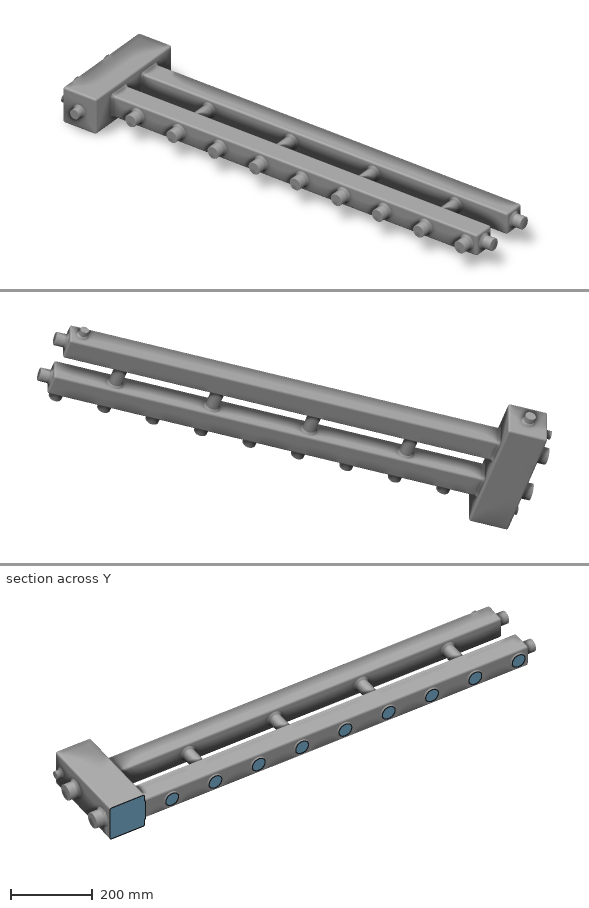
import cadquery as cq


overall_length = 1270.0
overall_width = 357.0

box_size_x = 101.0
box_size_z = 101.0
box_edge_radius = 5.5

rail_spacing = 125.0
rail_width = 60.0
rail_height = 60.0
rail_edge_radius = 5.5

inlet_diameter = 42.3
inlet_length = 29.0
outlet_diameter = 33.5
outlet_length = 30.0
outlet_tip_chamfer = 1.0
vent_diameter = 26.4
vent_length = 20.0
sensor_diameter = 21.3
sensor_length = 16.0
sensor_spacing = 264.0
drain_length = 20.0

outlet_count = 9
outlet_pitch = 125.0
last_outlet_to_rail_end = 31.0

bead = 5.0
rail_bead_length = 6.0

root_overlap = 2.0

box_left = inlet_length
box_right = box_left + box_size_x
box_center_x = box_left + box_size_x / 2
box_length = overall_width - 2 * vent_length
rail_end = overall_length - outlet_length
rail_y = rail_spacing / 2
last_outlet_x = rail_end - last_outlet_to_rail_end
outlet_places = [last_outlet_x - i * outlet_pitch for i in reversed(range(outlet_count))]
rail_gap = rail_spacing - rail_width
front_wall_y = -rail_y - rail_width / 2
rear_wall_y = rail_y + rail_width / 2


def header_box():
    """Closed box along Y with all its edges rounded."""
    box = cq.Workplane("XY").box(box_size_x, box_length, box_size_z)
    return box.edges().fillet(box_edge_radius).translate((box_center_x, 0, 0))


def rail_section(margin):
    """Rounded square of the rail, enlarged by a margin on every side."""
    outline = cq.Sketch().rect(rail_width + 2 * margin, rail_height + 2 * margin)
    return outline.vertices().fillet(rail_edge_radius + margin)


def rail(y):
    """Square tube along X, with a weld bead around its joint with the header box."""
    length = rail_end - box_right + root_overlap
    tube = (
        cq.Workplane("YZ", origin=(box_right - root_overlap, y, 0))
        .rect(rail_width, rail_height)
        .extrude(length)
        .edges("|X or >X")
        .fillet(rail_edge_radius)
    )
    joint = (
        cq.Workplane("YZ", origin=(box_right, y, 0))
        .placeSketch(
            rail_section(bead),
            rail_section(0).moved(cq.Location(cq.Vector(0, 0, rail_bead_length))),
        )
        .loft()
    )
    return tube.union(joint)


def stub(root, direction, diameter, length, tip_chamfer=0):
    """Solid round stub standing on a wall, with a weld bead at its root."""
    radius = diameter / 2
    stem = cq.Workplane(cq.Plane(root, normal=direction)).workplane(offset=-root_overlap)
    stem = stem.circle(radius).extrude(root_overlap + length)
    if tip_chamfer:
        tip = cq.selectors.DirectionMinMaxSelector(cq.Vector(direction), True)
        stem = stem.faces(tip).chamfer(tip_chamfer)
    return stem.union(round_bead(root, direction, radius))


def round_bead(root, direction, radius):
    """Conical weld bead around a round pipe, narrowing away from the wall."""
    return cq.Workplane(cq.Solid.makeCone(radius + bead, radius, bead, cq.Vector(root), cq.Vector(direction)))


def connecting_tube(x):
    """Solid round tube that joins the two rails, with a weld bead at each end."""
    radius = outlet_diameter / 2
    length = rail_gap + 2 * root_overlap
    tube = cq.Workplane("XZ", origin=(x, length / 2, 0)).circle(radius).extrude(length)
    for side in (-1, 1):
        tube = tube.union(round_bead((x, side * rail_gap / 2, 0), (0, -side, 0), radius))
    return tube


left = (-1, 0, 0)
right = (1, 0, 0)
front = (0, -1, 0)
rear = (0, 1, 0)

result = header_box()

for side in (-1, 1):
    y = side * rail_y
    result = result.union(rail(y))
    result = result.union(stub((rail_end, y, 0), right, outlet_diameter, outlet_length, outlet_tip_chamfer))
    result = result.union(stub((box_left, y, 0), left, inlet_diameter, inlet_length))
    sensor_root = (box_left, side * sensor_spacing / 2, 0)
    result = result.union(stub(sensor_root, left, sensor_diameter, sensor_length))

for side, direction in ((-1, front), (1, rear)):
    vent_root = (box_center_x, side * box_length / 2, 0)
    result = result.union(stub(vent_root, direction, vent_diameter, vent_length))

for x in outlet_places:
    outlet_root = (x, front_wall_y, 0)
    result = result.union(stub(outlet_root, front, outlet_diameter, outlet_length, outlet_tip_chamfer))
for x in outlet_places[1::2]:
    result = result.union(connecting_tube(x))

result = result.union(stub((last_outlet_x, rear_wall_y, 0), rear, sensor_diameter, drain_length))